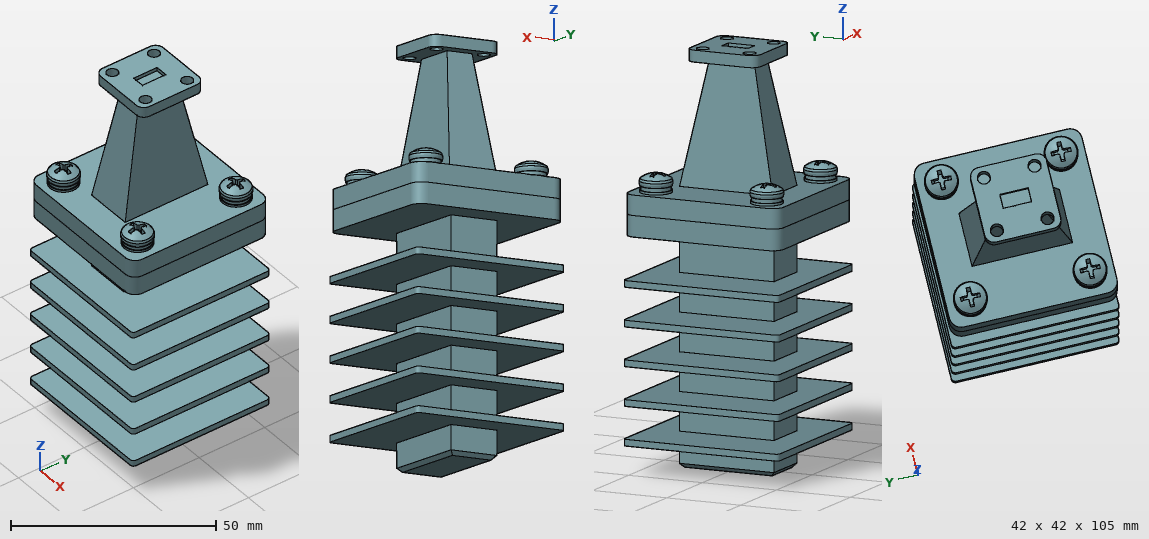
import cadquery as cq
import math

plate_size = 42.0
plate_corner_radius = 3.0
plate_thickness = 5.1
lower_plate_thickness = 5.4

block_width = 13.0
block_depth = 25.6
block_height = 59.6
block_chamfer = 1.0
block_chamfer_height = 1.1

fin_count = 5
fin_thickness = 1.7
fin_pitch = 9.88
fin_corner_radius = 1.0
first_fin_bottom = 7.4

horn_base_width = 13.6
horn_base_depth = 25.2
horn_top_width = 7.1
horn_top_depth = 12.1

port_size = 19.05
port_thickness = 3.0
port_corner_radius = 2.3
port_hole_diameter = 3.15
port_hole_spacing_x = 13.46
port_hole_spacing_y = 12.7
guide_width = 3.556
guide_depth = 7.112
guide_recess = 1.0
total_height = 105.0

screw_spacing = 30.0
flat_washer_diameter = 8.0
flat_washer_thickness = 0.6
spring_washer_diameter = 7.5
spring_washer_thickness = 1.0
head_diameter = 8.3
head_base_diameter = 8.0
head_taper_height = 0.6
head_rim_height = 0.6
head_shoulder_diameter = 7.8
head_shoulder_height = 0.6
head_dome_height = 1.35
recess_span = 5.4
recess_floor_span = 3.4
recess_arm_width = 0.95
recess_core_width = 1.8
recess_depth = 2.0

joint_level = block_height + lower_plate_thickness
plate_top = joint_level + plate_thickness
port_bottom = total_height - port_thickness
horn_height = port_bottom - plate_top


def rounded_plate(size, thickness, corner_radius, bottom):
    """Square plate centred on the Z axis with rounded vertical edges."""
    plate = cq.Workplane("XY").workplane(offset=bottom).rect(size, size).extrude(thickness)
    return plate.edges("|Z").fillet(corner_radius)


def make_heat_sink():
    """Rectangular block with a tapered foot and five square cooling fins, under its mounting plate."""
    foot = (
        cq.Workplane("XY")
        .rect(block_width - 2 * block_chamfer, block_depth - 2 * block_chamfer)
        .workplane(offset=block_chamfer_height)
        .rect(block_width, block_depth)
        .loft(ruled=True)
    )
    body = (
        cq.Workplane("XY")
        .workplane(offset=block_chamfer_height)
        .rect(block_width, block_depth)
        .extrude(block_height - block_chamfer_height)
        .union(foot)
    )
    for index in range(fin_count):
        fin_bottom = first_fin_bottom + index * fin_pitch
        body = body.union(rounded_plate(plate_size, fin_thickness, fin_corner_radius, fin_bottom))
    return body.union(rounded_plate(plate_size, lower_plate_thickness, plate_corner_radius, block_height))


def make_horn():
    """Upper plate, tapered horn and waveguide port flange in one piece."""
    horn = (
        cq.Workplane("XY")
        .workplane(offset=plate_top)
        .rect(horn_base_width, horn_base_depth)
        .workplane(offset=horn_height)
        .rect(horn_top_width, horn_top_depth)
        .loft(ruled=True)
    )
    holes = (
        cq.Workplane("XY")
        .workplane(offset=port_bottom)
        .rect(port_hole_spacing_x, port_hole_spacing_y, forConstruction=True)
        .vertices()
        .circle(port_hole_diameter / 2)
        .extrude(port_thickness)
    )
    guide = (
        cq.Workplane("XY")
        .workplane(offset=total_height - guide_recess)
        .rect(guide_width, guide_depth)
        .extrude(guide_recess)
    )
    port = rounded_plate(port_size, port_thickness, port_corner_radius, port_bottom).cut(holes)
    plate = rounded_plate(plate_size, plate_thickness, plate_corner_radius, joint_level)
    return plate.union(horn).union(port).cut(guide)


def make_screw(x, y):
    """Domed cross-recess screw head with its spring washer and flat washer."""
    flat_top = flat_washer_thickness
    spring_top = flat_top + spring_washer_thickness
    rim_bottom = spring_top + head_taper_height
    rim_top = rim_bottom + head_rim_height
    shoulder = rim_top + head_shoulder_height
    crown = shoulder + head_dome_height
    shoulder_radius = head_shoulder_diameter / 2
    dome_radius = (shoulder_radius**2 + head_dome_height**2) / (2 * head_dome_height)
    half_angle = math.asin(shoulder_radius / dome_radius) / 2
    dome_mid = (
        dome_radius * math.sin(half_angle),
        crown - dome_radius * (1 - math.cos(half_angle)),
    )
    head = (
        cq.Workplane("XZ")
        .moveTo(0, 0)
        .lineTo(flat_washer_diameter / 2, 0)
        .lineTo(flat_washer_diameter / 2, flat_top)
        .lineTo(spring_washer_diameter / 2, flat_top)
        .lineTo(spring_washer_diameter / 2, spring_top)
        .lineTo(head_base_diameter / 2, spring_top)
        .lineTo(head_diameter / 2, rim_bottom)
        .lineTo(head_diameter / 2, rim_top)
        .lineTo(shoulder_radius, shoulder)
        .threePointArc(dome_mid, (0, crown))
        .close()
        .revolve(360, (0, 0, 0), (0, 1, 0))
    )
    recess_floor = crown - recess_depth
    arm = (
        cq.Workplane("XZ")
        .moveTo(-recess_floor_span / 2, recess_floor)
        .lineTo(recess_floor_span / 2, recess_floor)
        .lineTo(recess_span / 2, crown)
        .lineTo(-recess_span / 2, crown)
        .close()
        .extrude(recess_arm_width / 2, both=True)
    )
    core = (
        cq.Workplane("XY")
        .workplane(offset=recess_floor)
        .rect(recess_core_width, recess_core_width)
        .extrude(recess_depth)
        .rotate((0, 0, 0), (0, 0, 1), 45)
    )
    recess = core.union(arm).union(arm.rotate((0, 0, 0), (0, 0, 1), 90))
    return head.cut(recess).translate((x, y, plate_top))


heat_sink = make_heat_sink()
horn = make_horn()
screws = [
    make_screw(x, y)
    for x in (-screw_spacing / 2, screw_spacing / 2)
    for y in (-screw_spacing / 2, screw_spacing / 2)
]

result = cq.Compound.makeCompound(
    [heat_sink.val(), horn.val(), *[screw.val() for screw in screws]]
)